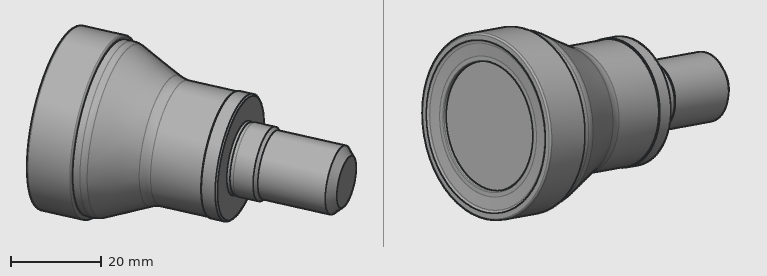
import cadquery as cq

TOTAL_LENGTH = 68.0

RING_RADIUS = 21.0
RING_LENGTH = 10.75
RING_ROUND = 0.4
RIM_INNER_RADIUS = 19.4
RIM_STEP_RADIUS = 18.7
RIM_STEP_DEPTH = 0.35
RIM_STEP_ROUND = 0.7
LIP_RADIUS = 15.8
LIP_DEPTH = 0.6
LIP_ROUND = 0.2
WALL_TOP_RADIUS = 14.55

SPIGOT_RADIUS = 14.5
SPIGOT_FACE_X = 1.5
HEAD_RADIUS = 40.2 / 2
HEAD_END_X = 12.4
BARREL_RADIUS = 28.6 / 2
BARREL_START_X = 26.9
FLANGE_RADIUS = 29.0 / 2
FLANGE_STEP = FLANGE_RADIUS - BARREL_RADIUS
FLANGE_START_X = 38.95
FLANGE_END_X = 42.8
FLANGE_CHAMFER = 0.4
CONE_START_X = 14.0
CONE_START_RADIUS = 19.8
CONE_END_X = 24.5
CONE_END_RADIUS = 14.95

COLLAR_RADIUS = 17.0 / 2
NECK_RADIUS = 8.3
NECK_START_X = 43.5
COLLAR_START_X = 44.3
COLLAR_END_X = 49.1
STUD_RADIUS = 15.8 / 2
STUD_START_X = 50.0
STUD_CHAMFER = 2.0


def turn(profile):
    """Close a half profile and revolve it about the X axis."""
    return profile.close().revolve(360, (0, 0, 0), (1, 0, 0))


def make_ring():
    """Rounded ring with a rimmed, slightly dished front face, a rounded inner lip and a plain bore."""
    profile = (
        cq.Workplane("XY")
        .moveTo(RING_LENGTH, SPIGOT_RADIUS)
        .lineTo(RING_LENGTH, RING_RADIUS - RING_ROUND)
        .tangentArcPoint((RING_LENGTH - RING_ROUND, RING_RADIUS), relative=False)
        .lineTo(RING_ROUND, RING_RADIUS)
        .tangentArcPoint((0, RING_RADIUS - RING_ROUND), relative=False)
        .lineTo(0, RIM_INNER_RADIUS)
        .radiusArc((RIM_STEP_DEPTH, RIM_STEP_RADIUS), RIM_STEP_ROUND)
        .lineTo(LIP_DEPTH, LIP_RADIUS)
        .lineTo(LIP_DEPTH, WALL_TOP_RADIUS + LIP_ROUND)
        .tangentArcPoint((LIP_DEPTH + LIP_ROUND, WALL_TOP_RADIUS), relative=False)
        .lineTo(SPIGOT_FACE_X, SPIGOT_RADIUS)
    )
    return turn(profile)


def make_housing():
    """Spigot, head, blended cone, barrel, flange and stud in one piece."""
    profile = (
        cq.Workplane("XY")
        .moveTo(SPIGOT_FACE_X, 0)
        .lineTo(SPIGOT_FACE_X, SPIGOT_RADIUS)
        .lineTo(RING_LENGTH, SPIGOT_RADIUS)
        .lineTo(RING_LENGTH, HEAD_RADIUS)
        .lineTo(HEAD_END_X, HEAD_RADIUS)
        .tangentArcPoint((CONE_START_X, CONE_START_RADIUS), relative=False)
        .lineTo(CONE_END_X, CONE_END_RADIUS)
        .tangentArcPoint((BARREL_START_X, BARREL_RADIUS), relative=False)
        .lineTo(FLANGE_START_X, BARREL_RADIUS)
        .lineTo(FLANGE_START_X + FLANGE_STEP, FLANGE_RADIUS)
        .lineTo(FLANGE_END_X - FLANGE_CHAMFER, FLANGE_RADIUS)
        .lineTo(FLANGE_END_X, FLANGE_RADIUS - FLANGE_CHAMFER)
        .lineTo(FLANGE_END_X, COLLAR_RADIUS)
        .lineTo(NECK_START_X, NECK_RADIUS)
        .lineTo(COLLAR_START_X, COLLAR_RADIUS)
        .lineTo(COLLAR_END_X, COLLAR_RADIUS)
        .lineTo(STUD_START_X, STUD_RADIUS)
        .lineTo(TOTAL_LENGTH - STUD_CHAMFER, STUD_RADIUS)
        .lineTo(TOTAL_LENGTH, STUD_RADIUS - STUD_CHAMFER)
        .lineTo(TOTAL_LENGTH, 0)
    )
    return turn(profile)


ring = make_ring()
housing = make_housing()
result = cq.Compound.makeCompound([ring.val(), housing.val()])